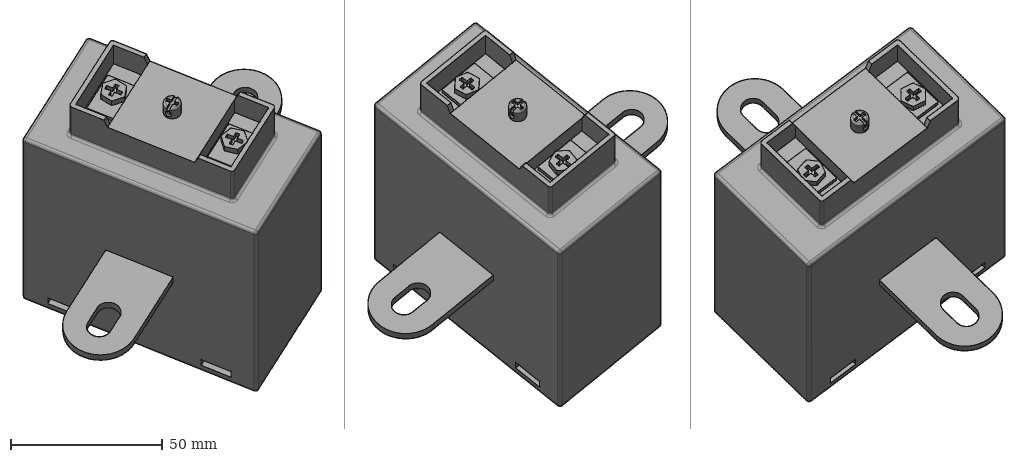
import cadquery as cq

body_width = 87.0
body_depth = 48.0
body_height = 87.1
body_round = 1.2

window_width = 11.0
window_height = 3.1
window_bottom = 3.1
window_spacing = 56.8

bar_length = 130.0
bar_width = 25.0
bar_thickness = 3.0
bar_hole_spacing = 100.1
bar_hole_length = 15.0
bar_hole_width = 8.3

block_width = 60.8
block_depth = 31.0
block_height = 15.7
block_corner = 1.0
block_foot_round = 1.0
bridge_height = 12.6
bridge_width = 32.2
bridge_flare = 1.3

wall = 1.7
pocket_floor_height = 5.6

plate_width = 10.8
plate_depth = 15.3
plate_thickness = 1.5
terminal_x = 22.4
screw_offset_y = 1.3
screw_across_corners = 9.2
screw_head_height = 2.5
screw_turn = 11.0
screw_cross_length = 5.8
screw_cross_height = 5.0
screw_cross_arm = 1.3
screw_cross_depth = 2.0

pin_diameter = 6.0
pin_round = 0.8
pin_top = 18.0
pin_slot_width = 1.2
pin_slot_depth = 1.2
pin_slot_cross_length = 4.2
pin_hole_diameter = 1.4
pin_hole_mouth = 2.6
pin_hole_below_top = 3.1

block_base = body_height
block_top = block_base + block_height
bridge_top = block_base + bridge_height
pocket_floor = block_base + pocket_floor_height
pin_top_z = block_base + pin_top
sides = (-1, 1)


def box_on(width, depth, height, base, x=0.0, y=0.0):
    """Box centred on (x, y) that rises from the level `base`."""
    return (
        cq.Workplane("XY", origin=(x, y, base))
        .box(width, depth, height, centered=(True, True, False))
    )


def make_body():
    body = box_on(body_width, body_depth, body_height, 0).edges().fillet(body_round)
    windows = (
        cq.Workplane("XZ")
        .pushPoints([(side * window_spacing / 2, window_bottom + window_height / 2) for side in sides])
        .rect(window_width, window_height)
        .extrude(body_depth, both=True)
    )
    return body.cut(windows)


def make_bar():
    bar_bottom = (body_height - bar_thickness) / 2
    return (
        cq.Workplane("XY", origin=(0, 0, bar_bottom))
        .slot2D(bar_length, bar_width, 90)
        .extrude(bar_thickness)
        .faces(">Z")
        .workplane(origin=(0, 0, 0))
        .pushPoints([(0, side * bar_hole_spacing / 2) for side in sides])
        .slot2D(bar_hole_length, bar_hole_width, 90)
        .cutThruAll()
    )


def add_block(body):
    block = (
        box_on(block_width, block_depth, block_height, block_base)
        .edges("|Z")
        .fillet(block_corner)
    )
    reach = 0.1
    foot_corner = (block_width / 2 + reach, block_depth / 2 + reach)
    foot = cq.selectors.BoxSelector(
        (-foot_corner[0], -foot_corner[1], block_base - reach),
        (foot_corner[0], foot_corner[1], block_base + reach),
    )
    return body.union(block).edges(foot).fillet(block_foot_round)


def bridge_cut():
    """Flared gap above the bridge, open to the front and back of the block."""
    half = bridge_width / 2
    return (
        cq.Workplane("XZ")
        .polyline([
            (-half, bridge_top),
            (half, bridge_top),
            (half + bridge_flare, block_top),
            (-half - bridge_flare, block_top),
        ])
        .close()
        .extrude(block_depth, both=True)
    )


def pocket_cut(side):
    inner_x = bridge_width / 2
    outer_x = block_width / 2 - wall
    return box_on(
        outer_x - inner_x,
        block_depth - 2 * wall,
        block_top - pocket_floor,
        pocket_floor,
        side * (inner_x + outer_x) / 2,
    )


def make_terminal(side):
    x = side * terminal_x
    plate = box_on(plate_width, plate_depth, plate_thickness, pocket_floor, x)
    head_base = pocket_floor + plate_thickness
    head = (
        cq.Workplane("XY", origin=(x, screw_offset_y, head_base))
        .transformed(rotate=(0, 0, side * screw_turn))
        .polygon(6, screw_across_corners)
        .extrude(screw_head_height)
    )
    recess_base = head_base + screw_head_height - screw_cross_depth
    for width, depth in (
        (screw_cross_length, screw_cross_arm),
        (screw_cross_arm, screw_cross_height),
    ):
        head = head.cut(box_on(width, depth, screw_cross_depth, recess_base, x, screw_offset_y))
    return plate.union(head)


def make_pin():
    radius = pin_diameter / 2
    pin = (
        cq.Workplane("XY", origin=(0, 0, bridge_top))
        .circle(radius)
        .extrude(pin_top_z - bridge_top)
        .faces(">Z")
        .edges()
        .fillet(pin_round)
    )
    slot_base = pin_top_z - pin_slot_depth
    pin = pin.cut(box_on(pin_slot_width, pin_diameter, pin_slot_depth, slot_base))
    pin = pin.cut(box_on(pin_slot_cross_length, pin_slot_width, pin_slot_depth, slot_base))

    hole_radius = pin_hole_diameter / 2
    mouth_radius = pin_hole_mouth / 2
    cone_depth = mouth_radius - hole_radius
    hole_z = pin_top_z - pin_hole_below_top
    hole = (
        cq.Workplane("XY", origin=(0, 0, hole_z))
        .polyline([
            (0, -radius),
            (mouth_radius, -radius),
            (hole_radius, cone_depth - radius),
            (hole_radius, radius - cone_depth),
            (mouth_radius, radius),
            (0, radius),
        ])
        .close()
        .revolve(360, (0, 0, 0), (0, 1, 0))
    )
    return pin.cut(hole)


result = add_block(make_body())
result = result.union(make_bar())
result = result.cut(bridge_cut())
for terminal_side in sides:
    result = result.cut(pocket_cut(terminal_side))
    result = result.union(make_terminal(terminal_side))
result = result.union(make_pin())